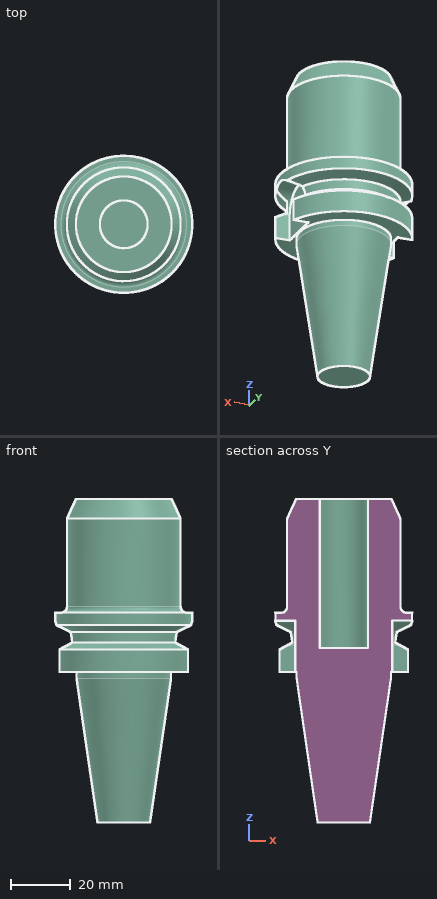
import cadquery as cq

total_length = 108.4
flange_radius = 23.0

neck_diameter = 31.8
neck_radius = neck_diameter / 2
taper_length = 48.3
taper_ratio = 7 / 24
shank_tip_radius = (neck_diameter - taper_ratio * taper_length) / 2
flange_bottom = 50.4

flange_thickness = 19.9
flange_top = flange_bottom + flange_thickness
lower_rim_top = flange_bottom + 7.6
groove_floor_bottom = flange_bottom + 9.9
groove_floor_top = flange_bottom + 13.4
upper_rim_bottom = flange_bottom + 15.7
groove_radius = 19.1

nose_radius = 19.1
nose_tip_radius = 16.0
nose_chamfer_height = 6.6
root_fillet = 2.0

bore_diameter = 16.0
bore_depth = 49.9

slot_width = 16.0
slot_height = 17.1
slot_floor_offset = 16.3


def turned_body():
    """Revolve the half profile, given as (radius, height), about Z."""
    profile = [
        (0, 0),
        (shank_tip_radius, 0),
        (neck_radius, taper_length),
        (neck_radius, flange_bottom),
        (flange_radius, flange_bottom),
        (flange_radius, lower_rim_top),
        (groove_radius, groove_floor_bottom),
        (groove_radius, groove_floor_top),
        (flange_radius, upper_rim_bottom),
        (flange_radius, flange_top),
        (nose_radius + root_fillet, flange_top),
    ]
    arc_inset = root_fillet * (1 - 0.5 ** 0.5)
    arc_middle = (nose_radius + arc_inset, flange_top + arc_inset)
    return (
        cq.Workplane("XZ")
        .polyline(profile)
        .threePointArc(arc_middle, (nose_radius, flange_top + root_fillet))
        .lineTo(nose_radius, total_length - nose_chamfer_height)
        .lineTo(nose_tip_radius, total_length)
        .lineTo(0, total_length)
        .close()
        .revolve(360, (0, 0, 0), (0, 1, 0))
    )


def tool_bore():
    return (
        cq.Workplane("XY", origin=(0, 0, total_length))
        .circle(bore_diameter / 2)
        .extrude(-bore_depth)
    )


def drive_slot(side):
    """Flat-floored, round-topped cutter for the slot on one side (+1 or -1)."""
    half_width = slot_width / 2
    slot_top = flange_bottom + slot_height
    arc_start = slot_top - half_width
    return (
        cq.Workplane("YZ", origin=(side * slot_floor_offset, 0, 0))
        .moveTo(-half_width, flange_bottom)
        .lineTo(half_width, flange_bottom)
        .lineTo(half_width, arc_start)
        .threePointArc((0, slot_top), (-half_width, arc_start))
        .close()
        .extrude(side * flange_radius)
    )


result = turned_body().cut(tool_bore())
for side in (-1, 1):
    result = result.cut(drive_slot(side))